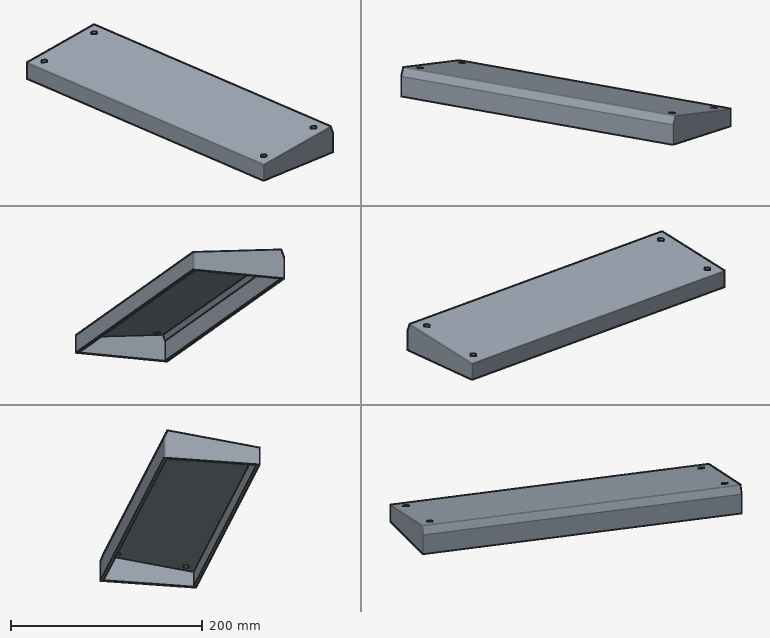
import cadquery as cq
import math

length = 354.7
depth = 102.0
back_height = 31.2

front_height = 19.0
back_wall_height = 22.0
ridge_setback = 3.5
front_y = -depth / 2
back_y = depth / 2
ridge_y = back_y - ridge_setback
top_slope = math.atan2(back_height - front_height, ridge_y - front_y)

wall = 3.2
edge_radius = 0.5

hole_diameter = 6.5
hole_end_inset = 13.0
front_hole_inset = 12.8
back_hole_inset = 16.3


def wedge_body():
    """Solid wedge, centred on X and Y, standing on Z = 0."""
    profile = [
        (front_y, 0),
        (back_y, 0),
        (back_y, back_wall_height),
        (ridge_y, back_height),
        (front_y, front_height),
    ]
    return cq.Workplane("YZ").polyline(profile).close().extrude(length / 2, both=True)


def hollow_case():
    """Wedge with its outer edges rounded, hollowed out through the bottom face."""
    rounded = wedge_body().edges("not <Z").fillet(edge_radius)
    return rounded.faces("<Z").shell(-wall)


def mounting_holes():
    """Four cutters through the sloped top, each centred on its outer surface."""
    slope_normal = (0, -math.sin(top_slope), math.cos(top_slope))
    hole_x = length / 2 - hole_end_inset
    cutters = cq.Workplane("XY")
    for x in (-hole_x, hole_x):
        for y in (front_y + front_hole_inset, back_y - back_hole_inset):
            z = front_height + (y - front_y) * math.tan(top_slope)
            plane = cq.Plane(origin=(x, y, z), xDir=(1, 0, 0), normal=slope_normal)
            cutter = cq.Workplane(plane).circle(hole_diameter / 2).extrude(2 * wall, both=True)
            cutters = cutters.add(cutter)
    return cutters.combine()


result = hollow_case().cut(mounting_holes())